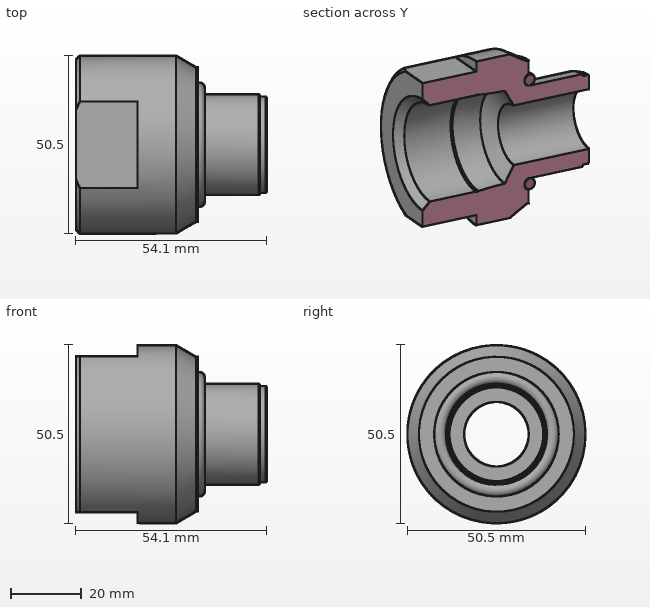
import cadquery as cq
import math

total_length = 54.1
body_diameter = 50.55
entry_chamfer = 1.1

flat_length = 17.4
across_flats = 44.25

taper_start = 28.35
taper_end = 34.0
shoulder_face = 34.55
shoulder_diameter = 43.95

spigot_diameter = 28.7
tip_start = 52.15
spigot_edge_diameter = 27.9
spigot_edge_chamfer = (spigot_diameter - spigot_edge_diameter) / 2
tip_diameter = 27.45
tip_chamfer = 0.45

socket_diameter = 29.5
socket_mouth_diameter = 34.15
socket_mouth_depth = (socket_mouth_diameter - socket_diameter) / 2
socket_depth = flat_length
groove_diameter = 29.7
groove_width = 0.6
bore_taper_length = 8.65
bore_taper_end_diameter = 28.4
through_diameter = 18.25
cone_half_angle = 60.0

ring_outer_diameter = 35.35
ring_section_radius = (ring_outer_diameter - spigot_diameter) / 4
ring_center_radius = (ring_outer_diameter + spigot_diameter) / 4
ring_end = 36.55
ring_center_x = ring_end - ring_section_radius


def revolve_about_x(profile_points):
    """Revolve a closed (x, radius) outline about the X axis."""
    return cq.Workplane("XY").polyline(profile_points).close().revolve(360, (0, 0, 0), (1, 0, 0))


def make_outer_form():
    return revolve_about_x([
        (0, 0),
        (0, body_diameter / 2 - entry_chamfer),
        (entry_chamfer, body_diameter / 2),
        (taper_start, body_diameter / 2),
        (taper_end, shoulder_diameter / 2),
        (shoulder_face, shoulder_diameter / 2),
        (shoulder_face, spigot_diameter / 2),
        (tip_start - spigot_edge_chamfer, spigot_diameter / 2),
        (tip_start, spigot_edge_diameter / 2),
        (tip_start, tip_diameter / 2),
        (total_length - tip_chamfer, tip_diameter / 2),
        (total_length, tip_diameter / 2 - tip_chamfer),
        (total_length, 0),
    ])


def make_bore():
    groove_end = socket_depth + groove_width
    cone_start = groove_end + bore_taper_length
    cone_radial_drop = (bore_taper_end_diameter - through_diameter) / 2
    cone_end = cone_start + cone_radial_drop / math.tan(math.radians(cone_half_angle))
    return revolve_about_x([
        (0, 0),
        (0, socket_mouth_diameter / 2),
        (socket_mouth_depth, socket_diameter / 2),
        (socket_depth, socket_diameter / 2),
        (socket_depth, groove_diameter / 2),
        (groove_end, groove_diameter / 2),
        (groove_end, socket_diameter / 2),
        (cone_start, bore_taper_end_diameter / 2),
        (cone_end, through_diameter / 2),
        (total_length, through_diameter / 2),
        (total_length, 0),
    ])


def make_flat_cutter(side):
    """Block that removes the body beyond the flat on the +Z (side=1) or -Z (side=-1) side."""
    center_z = side * (across_flats + body_diameter) / 4
    height = (body_diameter - across_flats) / 2
    return cq.Workplane("XY").box(flat_length, body_diameter, height).translate(
        (flat_length / 2, 0, center_z)
    )


def make_sealing_ring():
    return (
        cq.Workplane("XY")
        .center(ring_center_x, ring_center_radius)
        .circle(ring_section_radius)
        .revolve(360, (-ring_center_x, -ring_center_radius, 0), (0.55 - ring_center_x, -ring_center_radius, 0))
    )


def make_fitting(ring):
    fitting = make_outer_form().cut(make_bore())
    for side in (1, -1):
        fitting = fitting.cut(make_flat_cutter(side))
    return fitting.cut(ring)


sealing_ring = make_sealing_ring()
fitting = make_fitting(sealing_ring)

result = cq.Compound.makeCompound([*fitting.solids().vals(), sealing_ring.val()])